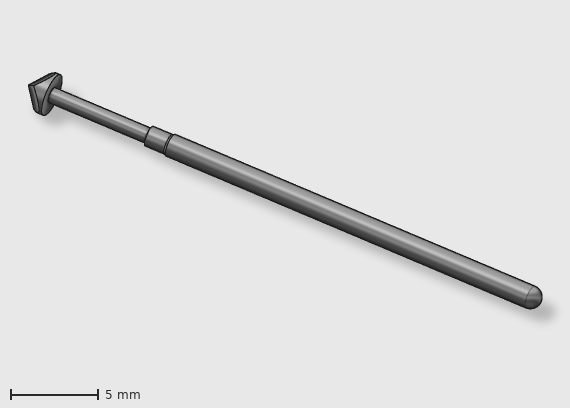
import cadquery as cq
import math

overall_length = 33.27
head_diameter = 2.53
head_length = 1.53
shaft_diameter = 0.93
collar_start = 7.85
collar_diameter = 1.23
barrel_start = 9.1
barrel_diameter = 1.35
barrel_taper_length = 0.13
face_angle = 43.0
face_count = 3

tip_x = -overall_length / 2
end_x = overall_length / 2


def rod(diameter, start, end):
    """Cylinder on the X axis between two X positions."""
    section = cq.Workplane("YZ", origin=(start, 0, 0)).circle(diameter / 2)
    return section.extrude(end - start)


def pointed_head():
    """Disc cut to a three-sided pyramid with one edge towards +Y."""
    blank = rod(head_diameter, tip_x, tip_x + head_length)
    pyramid_height = 2 * head_length
    inscribed_radius = pyramid_height * math.tan(math.radians(face_angle))
    corner_radius = inscribed_radius / math.cos(math.pi / face_count)
    base_x = tip_x + pyramid_height
    apex = cq.Vector(tip_x, 0, 0)
    corners = []
    for i in range(face_count):
        angle = 2 * math.pi * i / face_count
        y = corner_radius * math.cos(angle)
        z = corner_radius * math.sin(angle)
        corners.append(cq.Vector(base_x, y, z))
    faces = [cq.Face.makeFromWires(cq.Wire.makePolygon(corners, close=True))]
    for i in range(face_count):
        triangle = [apex, corners[i], corners[(i + 1) % face_count]]
        faces.append(cq.Face.makeFromWires(cq.Wire.makePolygon(triangle, close=True)))
    pyramid = cq.Solid.makeSolid(cq.Shell.makeShell(faces))
    return blank.intersect(cq.Workplane(pyramid))


def round_ended_barrel():
    """Barrel tapered down to the collar and closed by a hemisphere at +X."""
    radius = barrel_diameter / 2
    start_x = tip_x + barrel_start
    dome_x = end_x - radius
    dome_middle = radius * math.sqrt(0.5)
    profile = (
        cq.Workplane("XY")
        .moveTo(start_x, 0)
        .lineTo(start_x, collar_diameter / 2)
        .lineTo(start_x + barrel_taper_length, radius)
        .lineTo(dome_x, radius)
        .threePointArc((dome_x + dome_middle, dome_middle), (end_x, 0))
        .close()
    )
    return profile.revolve(360, (0, 0, 0), (1, 0, 0))


shaft = rod(shaft_diameter, tip_x + head_length, tip_x + collar_start)
collar = rod(collar_diameter, tip_x + collar_start, tip_x + barrel_start)
result = pointed_head().union(shaft).union(collar).union(round_ended_barrel())